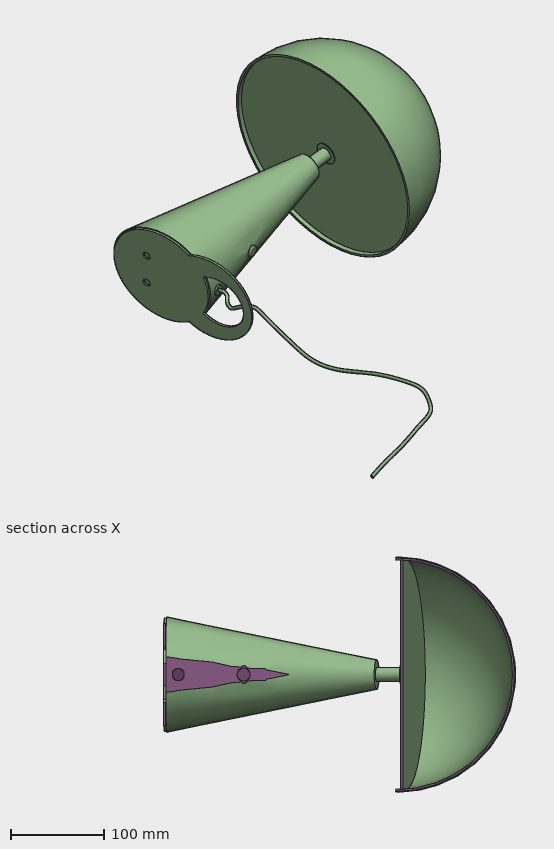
import cadquery as cq
import math


axis_lean = 10.0
base_lean = 1.1

shade_height = 252.0
shade_radius = 126.5
shade_wall = 2.5

diffuser_recess = 5.0
diffuser_thickness = 3.0

foot_height = 229.0
foot_base_radius = 62.0
foot_top_radius = 16.0

stem_radius = 7.5
flange_radius = 13.0
flange_thickness = 1.0

plate_thickness = 2.5
plate_radius = 61.0
plate_centre = -2.0
handle_radius = 55.5
handle_centre = 60.0
opening_radius = 33.0
opening_centre = 71.5

screw_radius = 4.5
screw_x = -20.5
screw_z = 20.0
screw_sink = 2.0
screw_length = 7.5

fitting_depth = 3.0
switch_radius = 6.5
switch_height = 82.5
switch_proud = 3.0
switch_rounding = 1.5
grommet_radius = 6.0
grommet_height = 12.5
grommet_proud = 2.0

cord_radius = 2.0
cord_end_y = -137.0
cord_path = [
    (69.5, 12.5, 0.5),
    (75.0, 9.0, 0.5),
    (80.0, 2.0, -1.5),
    (84.5, 1.5, -6.0),
    (91.0, 1.5, -2.5),
    (100.5, 2.0, 3.5),
    (111.5, 3.0, 8.0),
    (126.5, -1.0, 8.0),
    (145.5, -4.0, 0.5),
    (169.0, -5.5, -11.5),
    (190.5, -6.0, -20.5),
    (215.0, -6.0, -21.0),
    (266.0, -6.5, -2.5),
    (315.5, -7.0, 10.0),
    (336.0, -7.5, 8.5),
    (346.0, -10.0, -2.0),
    (349.5, -13.5, -6.0),
    (352.5, -20.5, -6.5),
    (353.5, -41.0, -6.5),
    (354.5, -70.5, -6.5),
    (353.5, -102.5, -6.5),
    (353.5, cord_end_y, -6.5),
]


def leaning_plane(lean, height=0):
    """Plane square to a line that leans from +Y, at a distance along that line from the origin."""
    angle = math.radians(lean)
    normal = cq.Vector(math.sin(angle), math.cos(angle), 0)
    across = cq.Vector(math.cos(angle), -math.sin(angle), 0)
    return cq.Plane(origin=normal * height, xDir=across, normal=normal)


base_plane = leaning_plane(base_lean)
foot_top_plane = leaning_plane(axis_lean, foot_height)
shade_plane = leaning_plane(axis_lean, shade_height)
diffuser_plane = leaning_plane(axis_lean, shade_height + diffuser_recess)


def half_ball(radius):
    ball = cq.Workplane(shade_plane).sphere(radius)
    upper_half = cq.Workplane(shade_plane).circle(2 * radius).extrude(2 * radius)
    return ball.intersect(upper_half)


def make_shade():
    return half_ball(shade_radius).cut(half_ball(shade_radius - shade_wall))


def make_diffuser():
    inner_radius = shade_radius - shade_wall
    radius = math.sqrt(inner_radius**2 - (diffuser_recess + diffuser_thickness) ** 2)
    return cq.Workplane(diffuser_plane).circle(radius).extrude(diffuser_thickness)


def make_stem():
    length = shade_height + diffuser_recess - foot_height
    rod = cq.Workplane(foot_top_plane).circle(stem_radius).extrude(length)
    flange = cq.Workplane(diffuser_plane).circle(flange_radius).extrude(-flange_thickness)
    return rod.union(flange)


def make_foot():
    taper = (foot_base_radius - foot_top_radius) / foot_height
    overlength = foot_base_radius / 2
    lower_plane = leaning_plane(axis_lean, -overlength)
    cone = cq.Solid.makeCone(
        foot_base_radius + taper * overlength,
        foot_top_radius,
        foot_height + overlength,
        lower_plane.origin,
        lower_plane.zDir,
    )
    below_base = cq.Workplane(base_plane).circle(2 * foot_base_radius).extrude(-2 * foot_base_radius)
    return cq.Workplane(cone).cut(below_base)


def flank_x(y):
    """X of the right flank of the foot at a given Y."""
    low = leaning_plane(axis_lean).toWorldCoords((foot_base_radius, 0, 0))
    high = foot_top_plane.toWorldCoords((foot_top_radius, 0, 0))
    return low.x + (high.x - low.x) * (y - low.y) / (high.y - low.y)


def make_fitting(radius, y, proud):
    """Round fitting let into the right flank of the foot."""
    seat = (flank_x(y) - fitting_depth, y, 0)
    return cq.Workplane("YZ", origin=seat).circle(radius).extrude(fitting_depth + proud)


def make_plate():
    base = cq.Workplane(base_plane)
    handle = base.center(handle_centre, 0).circle(handle_radius).extrude(-plate_thickness)
    opening = base.center(opening_centre, 0).circle(opening_radius).extrude(-plate_thickness)
    disc = base.center(plate_centre, 0).circle(plate_radius).extrude(-plate_thickness)
    return handle.cut(opening).union(disc)


def make_screw_hole(z):
    hole = cq.Workplane(base_plane).workplane(offset=-plate_thickness).center(screw_x, z)
    return hole.circle(screw_radius).extrude(screw_sink + screw_length)


def make_screw(z):
    head = cq.Workplane(base_plane).workplane(offset=screw_sink - plate_thickness).center(screw_x, z)
    return head.circle(screw_radius).extrude(screw_length)


def make_cord():
    start = (flank_x(grommet_height) + grommet_proud, grommet_height, 0)
    path = cq.Workplane("XY").spline([start, *cord_path])
    return cq.Workplane("YZ", origin=start).circle(cord_radius).sweep(path)


shade = make_shade()
diffuser = make_diffuser()
stem = make_stem()
switch = make_fitting(switch_radius, switch_height, switch_proud).faces(">X").edges().fillet(switch_rounding)
grommet = make_fitting(grommet_radius, grommet_height, grommet_proud)
foot = make_foot().cut(switch).cut(grommet)
plate = make_plate()
cord = make_cord()

screws = []
for z in (-screw_z, screw_z):
    hole = make_screw_hole(z)
    plate = plate.cut(hole)
    foot = foot.cut(hole)
    screws.append(make_screw(z))

result = cq.Compound.makeCompound([
    shade.val(),
    diffuser.val(),
    stem.val(),
    foot.val(),
    switch.val(),
    grommet.val(),
    plate.val(),
    cord.val(),
    *[screw.val() for screw in screws],
])